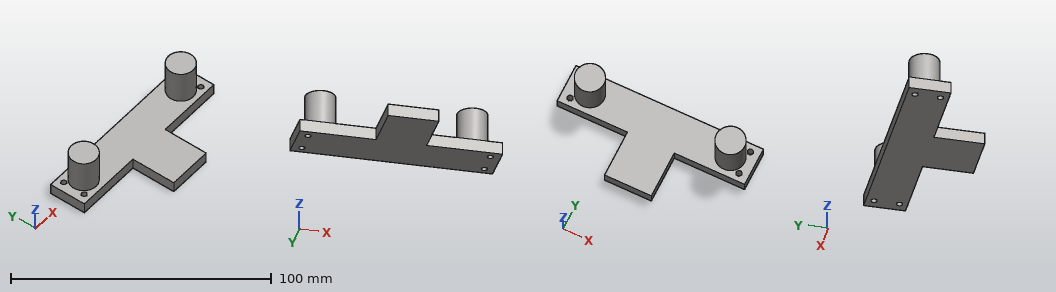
import cadquery as cq

length = 80.0
bar_width = 16.5
stem_size = 20.0
height = 20.0
thickness = height / 4

post_diameter = 12.0
post_spacing = 60.0
hole_diameter = 2.3
hole_spacing_x = 72.0
hole_spacing_y = 10.0


def make_plate():
    """T-shaped plate: a long bar with a square stem toward -Y."""
    bar = cq.Workplane("XY").box(length, bar_width, thickness, centered=(True, True, False))
    stem_center_y = -(bar_width + stem_size) / 2
    stem = (
        cq.Workplane("XY")
        .center(0, stem_center_y)
        .box(stem_size, stem_size, thickness, centered=(True, True, False))
    )
    return bar.union(stem)


def make_posts():
    """Round posts standing on the plate near each end of the bar."""
    return (
        cq.Workplane("XY")
        .workplane(offset=thickness)
        .rarray(post_spacing, 0.8, 2, 1)
        .circle(post_diameter / 2)
        .extrude(height - thickness)
    )


def make_holes():
    """Through holes, a pair outboard of each post."""
    return (
        cq.Workplane("XY")
        .rarray(hole_spacing_x, hole_spacing_y, 2, 2)
        .circle(hole_diameter / 2)
        .extrude(thickness)
    )


result = make_plate().cut(make_holes()).union(make_posts())